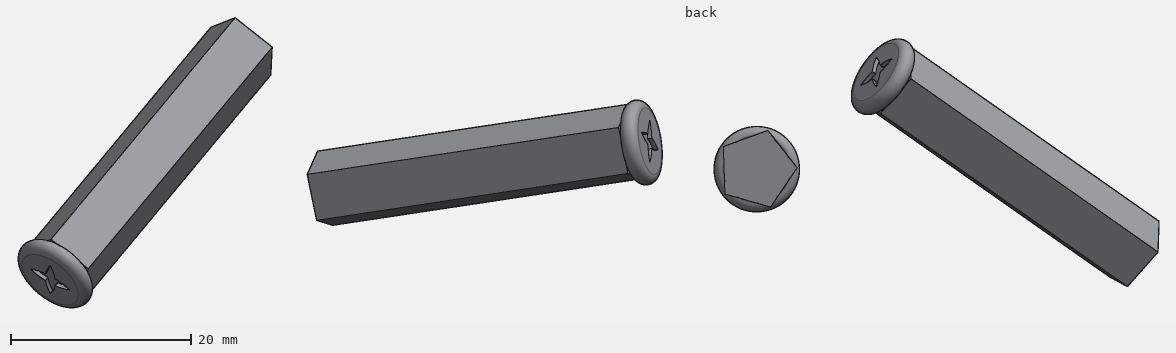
import cadquery as cq
import math

total_length = 39.0
head_diameter = 9.5
head_thickness = 2.03

shank_sides = 5
shank_corner_radius = 4.5
shank_first_corner_angle = 178.0

star_points = 4
star_tip_radius = 2.55
star_notch_offset = 0.62
star_flank_bulge = 0.1
star_depth = 0.5


def polar(radius, angle):
    """Point at an angle in degrees, measured from +X toward +Z."""
    turn = math.radians(angle)
    return (radius * math.cos(turn), radius * math.sin(turn))


def bulged_middle(start, end, bulge):
    """Middle of an arc whose crown lies outside the line from start to end."""
    dx = end[0] - start[0]
    dz = end[1] - start[1]
    chord = math.hypot(dx, dz)
    mid_x = (start[0] + end[0]) / 2
    mid_z = (start[1] + end[1]) / 2
    return (mid_x + bulge * dz / chord, mid_z - bulge * dx / chord)


def extrude_along_y(outline, y_start, length):
    """Extrude a closed XZ outline toward +Y; the XZ plane normal is -Y."""
    return outline.extrude(-length).translate((0, y_start, 0))


def make_head():
    """Disc with a fully rounded rim, its flat face at Y = 0."""
    rim_radius = head_thickness / 2
    flat_radius = head_diameter / 2 - rim_radius
    profile = (
        cq.Workplane("XY")
        .lineTo(flat_radius, 0)
        .threePointArc((head_diameter / 2, rim_radius), (flat_radius, head_thickness))
        .lineTo(0, head_thickness)
        .close()
    )
    return profile.revolve(360, (0, 0, 0), (0, 1, 0))


def make_shank():
    """Pentagonal bar from the back of the head to the far end."""
    step = 360 / shank_sides
    corners = [
        polar(shank_corner_radius, shank_first_corner_angle + step * i)
        for i in range(shank_sides)
    ]
    outline = cq.Workplane("XZ").polyline(corners).close()
    return extrude_along_y(outline, head_thickness, total_length - head_thickness)


def make_star_recess():
    """Star with pointed tips and arched flanks, cut in from the head face."""
    step = 360 / star_points
    notch_radius = star_notch_offset * math.sqrt(2)
    outline = cq.Workplane("XZ").moveTo(star_tip_radius, 0)
    for i in range(star_points):
        tip = polar(star_tip_radius, step * i)
        notch = polar(notch_radius, step * (i + 0.5))
        next_tip = polar(star_tip_radius, step * (i + 1))
        outline = outline.threePointArc(bulged_middle(tip, notch, star_flank_bulge), notch)
        outline = outline.threePointArc(bulged_middle(notch, next_tip, star_flank_bulge), next_tip)
    return extrude_along_y(outline.close(), 0, star_depth)


result = make_head().union(make_shank()).cut(make_star_recess())